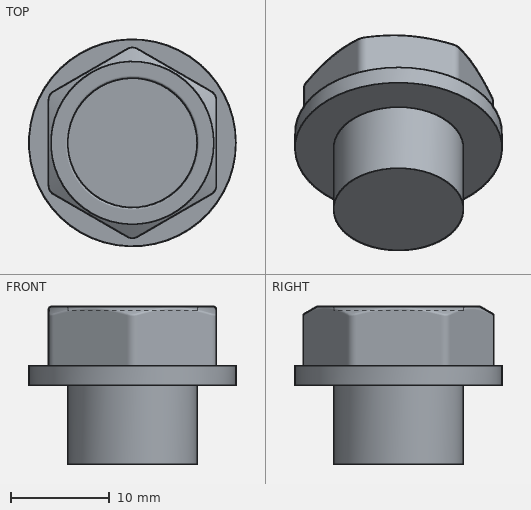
import cadquery as cq
import math

TOTAL_HEIGHT = 16.0
SHANK_LENGTH = 8.0
FLANGE_THICKNESS = 2.0
HEAD_BASE = SHANK_LENGTH + FLANGE_THICKNESS
HEAD_HEIGHT = TOTAL_HEIGHT - HEAD_BASE

SHANK_DIAMETER = 13.17
FLANGE_DIAMETER = 21.0

HEX_SIDES = 6
ACROSS_FLATS = 17.0
CORNER_RADIUS = 1.0
CROWN_DIAMETER = 16.5
CROWN_ANGLE = 30.0
CROWN_EDGE_RADIUS = 0.25

RECESS_DIAMETER = 13.1
RECESS_DEPTH = 0.4
RECESS_RIM_RADIUS = 0.25
RECESS_FLOOR_RADIUS = 0.05


def cylinder(diameter, height, base):
    return cq.Workplane("XY").workplane(offset=base).circle(diameter / 2).extrude(height)


def crown_envelope():
    """Cylinder with a conical top that bevels the hexagon's upper corners."""
    top_radius = CROWN_DIAMETER / 2
    outer_radius = FLANGE_DIAMETER / 2
    drop = (outer_radius - top_radius) * math.tan(math.radians(CROWN_ANGLE))
    profile = (
        cq.Workplane("XZ")
        .moveTo(0, HEAD_BASE)
        .lineTo(outer_radius, HEAD_BASE)
        .lineTo(outer_radius, TOTAL_HEIGHT - drop)
        .lineTo(top_radius, TOTAL_HEIGHT)
        .lineTo(0, TOTAL_HEIGHT)
        .close()
    )
    return profile.revolve(360, (0, 0, 0), (0, 1, 0))


def hexagonal_head():
    """Hexagon with corners on the Y axis, rounded corners and a bevelled crown."""
    across_corners = ACROSS_FLATS / math.cos(math.pi / HEX_SIDES)
    hexagon = (
        cq.Workplane("XY")
        .workplane(offset=HEAD_BASE)
        .transformed(rotate=(0, 0, 90))
        .polygon(HEX_SIDES, across_corners)
        .extrude(HEAD_HEIGHT)
        .edges("|Z")
        .fillet(CORNER_RADIUS)
    )
    head = hexagon.intersect(crown_envelope())

    crown_edges = head.faces("%CONE").edges("not(>Z)")
    return crown_edges.fillet(CROWN_EDGE_RADIUS)


def top_recess():
    """Shallow disc with a small fillet where its wall meets its floor."""
    disc = cylinder(RECESS_DIAMETER, RECESS_DEPTH, TOTAL_HEIGHT - RECESS_DEPTH)
    return disc.faces("<Z").edges().fillet(RECESS_FLOOR_RADIUS)


shank = cylinder(SHANK_DIAMETER, SHANK_LENGTH, 0)
flange = cylinder(FLANGE_DIAMETER, FLANGE_THICKNESS, SHANK_LENGTH)

recessed_head = (
    hexagonal_head()
    .cut(top_recess())
    .faces(">Z")
    .edges(cq.selectors.RadiusNthSelector(0))
    .fillet(RECESS_RIM_RADIUS)
)

result = shank.union(flange).union(recessed_head)